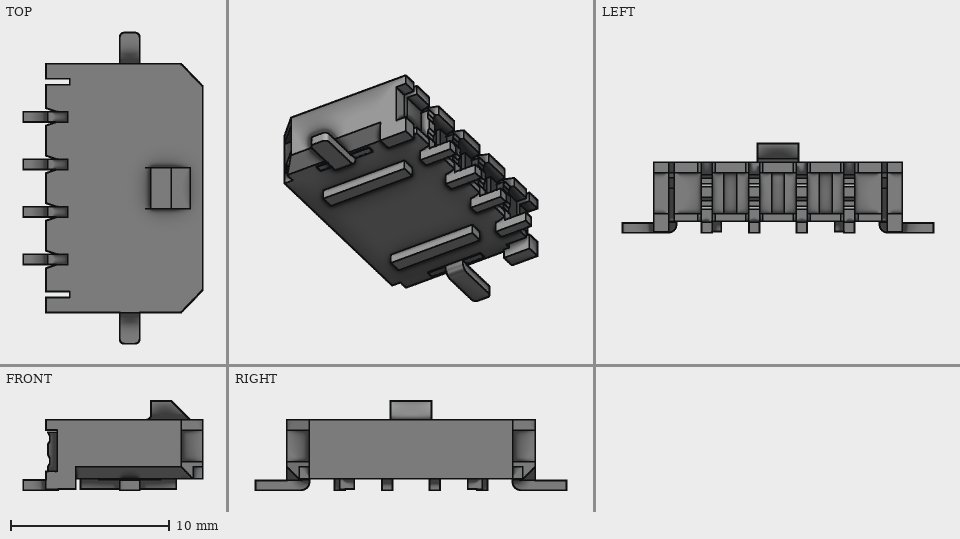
import cadquery as cq


HOUSING_LENGTH = 9.92
HOUSING_WIDTH = 15.71
HOUSING_BASE_Z = 0.73
HOUSING_TOP_Z = 4.46
CORNER_CUT_X = 1.38
CORNER_CUT_Y = 1.43
EDGE_BEVEL = 0.77
HALF_WIDTH = HOUSING_WIDTH / 2
CORNER_START_X = HOUSING_LENGTH - CORNER_CUT_X
CORNER_INNER_Y = HALF_WIDTH - CORNER_CUT_Y

FOOT_BASE_Z = 0.08
FOOT_LENGTH = 1.9
FOOT_WIDTH = 0.96
FOOT_INNER_Y = HALF_WIDTH - FOOT_WIDTH

CORNER_STEP_LOW_Z = 1.8
CORNER_STEP_HIGH_Z = 3.8
LOWER_STEP_X = CORNER_START_X + EDGE_BEVEL

RECESS_LOW_Z = 1.19
RECESS_HIGH_Z = 3.8
RECESS_DEPTH = 0.72
GROOVE_WIDTH = 0.82
GROOVE_DEPTH = 0.3

SLOT_WIDTH = 0.36
SLOT_END_X = 1.5
SLOT_STEP_Z = 2.8
SLOT_STEP = 0.1
SLOT_RAMP_Z = 3.49
SLOT_RAMP_END_X = SLOT_END_X + SLOT_STEP + RECESS_HIGH_Z - SLOT_RAMP_Z

PIN_COUNT = 4
PIN_PITCH = 3.0
PIN_WIDTH = 0.67
PIN_TAIL_X = -1.43
PIN_TAIL_HEIGHT = 0.66
PIN_BEND_X = 0.13
PIN_FOOT_X = 0.79
PIN_END_X = 1.4
PIN_TOP_Z = 3.67
DIMPLE_X = 0.25
DIMPLE_HEIGHT = 0.76
DIMPLE_RAMP_HIGH = 0.24
DIMPLE_RAMP_LOW = 0.18
DIMPLE_TOPS_Z = (PIN_TOP_Z, 2.26)
FUNNEL_HALF_WIDTH = 0.55
FUNNEL_DEPTH = 0.64
PIN_YS = [(i - (PIN_COUNT - 1) / 2) * PIN_PITCH for i in range(PIN_COUNT)]
GROOVE_YS = [y + PIN_PITCH / 2 for y in PIN_YS[:-1]]

LATCH_WIDTH = 2.6
LATCH_TOP_Z = 5.64
LATCH_REAR_X = 6.63
LATCH_CREST_X = 7.93
LATCH_FRONT_X = 9.11
LATCH_ROOT_LENGTH = 0.31
LATCH_ROOT_HEIGHT = 0.22
LATCH_ROOT_SAG = 0.06

RIB_START_X = 2.19
RIB_END_X = 8.24
RIB_INNER_Y = 3.58
RIB_OUTER_Y = 4.5

TAB_TIP_Y = 9.825
TAB_INNER_Y = 6.4
TAB_WIDTH = 1.27
TAB_CENTER_X = 5.3
TAB_THICKNESS = 0.62
TAB_CORNER_RADIUS = 0.3
TAB_BEND_RADIUS = 0.55
SHOULDER_LENGTH = 3.9
SHOULDER_BASE_Z = 0.66

OVERLAP = 0.2
SIDES = (-1, 1)


def box(x0, x1, y0, y1, z0, z1):
    """Box between two limits on each axis."""
    size = (x1 - x0, abs(y1 - y0), z1 - z0)
    return cq.Workplane().box(*size, centered=False).translate((x0, min(y0, y1), z0))


def side_profile(points, y_low, y_high):
    """Extrude an outline of (x, z) points between two Y limits."""
    outline = cq.Workplane("XZ", origin=(0, y_high, 0)).polyline(points).close()
    return outline.extrude(y_high - y_low)


def plan_profile(points, z_low, z_high):
    """Extrude an outline of (x, y) points between two heights."""
    outline = cq.Workplane("XY", origin=(0, 0, z_low)).polyline(points).close()
    return outline.extrude(z_high - z_low)


def housing_block():
    plan = [
        (0, -HALF_WIDTH),
        (CORNER_START_X, -HALF_WIDTH),
        (HOUSING_LENGTH, -CORNER_INNER_Y),
        (HOUSING_LENGTH, CORNER_INNER_Y),
        (CORNER_START_X, HALF_WIDTH),
        (0, HALF_WIDTH),
    ]
    bevel_top_z = HOUSING_BASE_Z + EDGE_BEVEL
    section = [
        (-HALF_WIDTH, HOUSING_TOP_Z),
        (-HALF_WIDTH, bevel_top_z),
        (-HALF_WIDTH + EDGE_BEVEL, HOUSING_BASE_Z),
        (HALF_WIDTH - EDGE_BEVEL, HOUSING_BASE_Z),
        (HALF_WIDTH, bevel_top_z),
        (HALF_WIDTH, HOUSING_TOP_Z),
    ]
    bevelled = cq.Workplane("YZ").polyline(section).close().extrude(HOUSING_LENGTH)
    block = plan_profile(plan, HOUSING_BASE_Z, HOUSING_TOP_Z).intersect(bevelled)
    for side in SIDES:
        foot_ys = (side * FOOT_INNER_Y, side * HALF_WIDTH)
        block = block.union(box(0, FOOT_LENGTH, *foot_ys, FOOT_BASE_Z, bevel_top_z))
    return block


def corner_steps(side):
    ys = (side * CORNER_INNER_Y, side * HALF_WIDTH)
    middle = box(CORNER_START_X, HOUSING_LENGTH, *ys, CORNER_STEP_LOW_Z, CORNER_STEP_HIGH_Z)
    lower_top_z = HOUSING_BASE_Z + EDGE_BEVEL
    lower = box(LOWER_STEP_X, HOUSING_LENGTH, *ys, HOUSING_BASE_Z, lower_top_z)
    return middle.union(lower)


def rear_recess():
    recess = box(0, RECESS_DEPTH, -HALF_WIDTH, HALF_WIDTH, RECESS_LOW_Z, RECESS_HIGH_Z)
    groove_end_x = RECESS_DEPTH + GROOVE_DEPTH
    for y in GROOVE_YS:
        ys = (y - GROOVE_WIDTH / 2, y + GROOVE_WIDTH / 2)
        recess = recess.union(box(0, groove_end_x, *ys, RECESS_LOW_Z, RECESS_HIGH_Z))
    return recess


def foot_slot(side):
    outline = [
        (0, HOUSING_BASE_Z),
        (SLOT_END_X, HOUSING_BASE_Z),
        (SLOT_END_X, SLOT_STEP_Z),
        (SLOT_END_X + SLOT_STEP, SLOT_STEP_Z),
        (SLOT_END_X + SLOT_STEP, SLOT_RAMP_Z),
        (SLOT_RAMP_END_X, RECESS_HIGH_Z),
        (SLOT_END_X, RECESS_HIGH_Z),
        (SLOT_END_X, HOUSING_TOP_Z),
        (0, HOUSING_TOP_Z),
    ]
    ys = sorted((side * FOOT_INNER_Y, side * (FOOT_INNER_Y - SLOT_WIDTH)))
    return side_profile(outline, *ys)


def pin_slot(y):
    """Slot with a flared mouth, open through the top and bottom plates."""
    half = PIN_WIDTH / 2
    plan = [
        (0, y - FUNNEL_HALF_WIDTH),
        (FUNNEL_DEPTH, y - half),
        (PIN_END_X, y - half),
        (PIN_END_X, y + half),
        (FUNNEL_DEPTH, y + half),
        (0, y + FUNNEL_HALF_WIDTH),
    ]
    return plan_profile(plan, HOUSING_BASE_Z, HOUSING_TOP_Z)


def pin(y):
    outline = [
        (PIN_TAIL_X, 0),
        (PIN_FOOT_X, 0),
        (PIN_FOOT_X, HOUSING_BASE_Z),
        (PIN_END_X, HOUSING_BASE_Z),
        (PIN_END_X, PIN_TOP_Z),
    ]
    for top_z in DIMPLE_TOPS_Z:
        bottom_z = top_z - DIMPLE_HEIGHT
        outline += [
            (PIN_BEND_X, top_z),
            (DIMPLE_X, top_z - DIMPLE_RAMP_HIGH),
            (DIMPLE_X, bottom_z + DIMPLE_RAMP_LOW),
            (PIN_BEND_X, bottom_z),
        ]
    outline += [(PIN_BEND_X, PIN_TAIL_HEIGHT), (PIN_TAIL_X, PIN_TAIL_HEIGHT)]
    return side_profile(outline, y - PIN_WIDTH / 2, y + PIN_WIDTH / 2)


def latch():
    root_top_z = HOUSING_TOP_Z + LATCH_ROOT_HEIGHT
    root_x = LATCH_REAR_X - LATCH_ROOT_LENGTH
    outline = (
        cq.Workplane("XZ", origin=(0, LATCH_WIDTH / 2, 0))
        .moveTo(root_x, HOUSING_TOP_Z)
        .sagittaArc((LATCH_REAR_X, root_top_z), -LATCH_ROOT_SAG)
        .lineTo(LATCH_REAR_X, LATCH_TOP_Z)
        .lineTo(LATCH_CREST_X, LATCH_TOP_Z)
        .lineTo(LATCH_FRONT_X, HOUSING_TOP_Z)
        .lineTo(LATCH_FRONT_X, HOUSING_TOP_Z - OVERLAP)
        .lineTo(root_x, HOUSING_TOP_Z - OVERLAP)
        .close()
    )
    return outline.extrude(LATCH_WIDTH)


def rib(side):
    ys = (side * RIB_INNER_Y, side * RIB_OUTER_Y)
    return box(RIB_START_X, RIB_END_X, *ys, FOOT_BASE_Z, HOUSING_BASE_Z + OVERLAP)


def solder_tab(side):
    x0 = TAB_CENTER_X - TAB_WIDTH / 2
    x1 = TAB_CENTER_X + TAB_WIDTH / 2
    embed_z = HOUSING_BASE_Z + OVERLAP
    tab = box(x0, x1, TAB_INNER_Y, TAB_TIP_Y, 0, TAB_THICKNESS)
    tab = tab.edges("|Z and >Y").fillet(TAB_CORNER_RADIUS)
    tab = tab.edges("|X and <Y and <Z").fillet(TAB_BEND_RADIUS)
    riser = box(x0, x1, TAB_INNER_Y, FOOT_INNER_Y, TAB_THICKNESS, embed_z)
    shoulder_xs = (TAB_CENTER_X - SHOULDER_LENGTH / 2, TAB_CENTER_X + SHOULDER_LENGTH / 2)
    shoulder = box(*shoulder_xs, TAB_INNER_Y, FOOT_INNER_Y, SHOULDER_BASE_Z, embed_z)
    tab = tab.union(riser).union(shoulder)
    return tab if side > 0 else tab.mirror("XZ")


def build_header():
    part = housing_block().cut(rear_recess())
    for y in PIN_YS:
        part = part.cut(pin_slot(y)).union(pin(y))
    for side in SIDES:
        part = part.cut(corner_steps(side)).cut(foot_slot(side))
        part = part.union(rib(side)).union(solder_tab(side))
    return part.union(latch())


result = build_header()